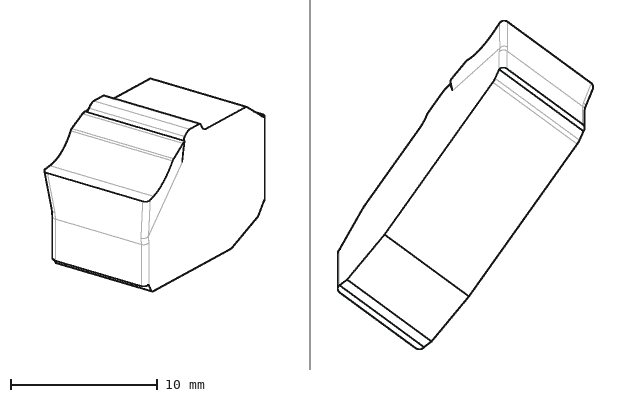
import cadquery as cq
import math

length = 19.01
height = 14.43
body_width = 7.3
body_half = body_width / 2
flared_width = 8.02
slope = math.tan(math.radians(20))

tip_z = 13.06
front_y = 0.51
front_top_z = 8.95
front_bottom_z = 5.4
front_step_y = 0.87
nose_y = 1.4
corner_radius = 0.38

bottom_front_y = 13.57
bottom_back_y = 17.72
nose_z = (bottom_front_y - nose_y) * slope
lip_y = 18.55
back_bottom_z = 0.82
lip_bottom_z = 0.68
back_top_z = 7.7
lip_top_z = back_top_z + (length - lip_y) * slope

shoulder_y = 15.91
shoulder_z = lip_top_z + lip_y - shoulder_y
ridge_foot_y = 9.56
ridge_foot_z = shoulder_z + (shoulder_y - ridge_foot_y) * slope
ridge_rear_y = 8.9
ridge_rear_z = 13.67
ridge_mid_y = 9.16
ridge_mid_z = 13.2
ridge_top_y = 8.63
ridge_top_z = 13.88
ridge_round_y = 8.78
ridge_round_z = 13.8
crest_rear_y = 7.2
crest_rear_z = ridge_top_z + (ridge_top_y - crest_rear_y) * slope
crest_y = 6.9
crest_front_y = 6.46
crest_front_z = 14.28
land_z = 14.16
land_rear_y = 6.12
land_front_y = 5.84

groove_radius = 3.42
groove_y = 1.7
groove_bottom_z = 12.83
groove_rear_y = 4.18
groove_front_y = 1.06

edge_round = 0.29
nose_round = 0.48

flare_rear_y = 6.05
flare_rear_z = 12.41
flare_wall_top_y = 6.31
flare_front_y = 0.87
flare_front_z = 9.6
flare_wall_offset = 0.23


def groove_z(y):
    """Height of the groove surface at y."""
    drop = math.sqrt(groove_radius**2 - (y - groove_y) ** 2)
    return groove_bottom_z + groove_radius - drop


def round_cross_edge(solid, y, z, radius):
    """Round the edge running along X through (y, z)."""
    return solid.edges("|X").edges(cq.selectors.NearestToPointSelector((0, y, z))).fillet(radius)


def extruded_profile(width):
    """Side profile in the YZ plane, centred on X = 0."""
    profile = (
        cq.Workplane("YZ")
        .moveTo(0, tip_z)
        .lineTo(front_y, front_top_z)
        .lineTo(front_y, front_bottom_z)
        .lineTo(front_step_y, front_bottom_z)
        .lineTo(nose_y, nose_z)
        .lineTo(bottom_front_y, 0)
        .lineTo(bottom_back_y, 0)
        .lineTo(lip_y, lip_bottom_z)
        .lineTo(length, back_bottom_z)
        .lineTo(length, back_top_z)
        .lineTo(lip_y, lip_top_z)
        .lineTo(shoulder_y, shoulder_z)
        .lineTo(ridge_foot_y, ridge_foot_z)
        .threePointArc((ridge_mid_y, ridge_mid_z), (ridge_rear_y, ridge_rear_z))
        .threePointArc((ridge_round_y, ridge_round_z), (ridge_top_y, ridge_top_z))
        .lineTo(crest_rear_y, crest_rear_z)
        .threePointArc((crest_y, height), (crest_front_y, crest_front_z))
        .lineTo(land_rear_y, land_z)
        .lineTo(land_front_y, land_z)
        .lineTo(groove_rear_y, groove_z(groove_rear_y))
        .threePointArc((groove_y, groove_bottom_z), (groove_front_y, groove_z(groove_front_y)))
        .close()
        .extrude(width / 2, both=True)
    )
    profile = round_cross_edge(profile, groove_rear_y, groove_z(groove_rear_y), edge_round)
    profile = round_cross_edge(profile, nose_y, nose_z, nose_round)
    return round_cross_edge(profile, shoulder_y, shoulder_z, edge_round)


def flare_envelope():
    """Tetrahedron on the +X side bounded by the flare face, rear wall and body side."""
    base_slope = (flare_rear_z - flare_front_z) / (flare_rear_y - flare_front_y)
    base_z_at_tip = flare_rear_z - flare_rear_y * base_slope
    spread = (flared_width - body_width) / 2 / (tip_z - base_z_at_tip)

    wall_rise = land_z - flare_rear_z
    wall_inner = cq.Vector(0, flare_wall_top_y - flare_rear_y, wall_rise)
    wall_outer_y = flare_wall_top_y - flare_wall_offset
    wall_outer_rise = wall_rise + (wall_outer_y - flare_rear_y) * base_slope
    wall_outer = cq.Vector(spread * wall_outer_rise, wall_outer_y - flare_rear_y, wall_rise)
    base_line = cq.Vector(0, flare_front_y - flare_rear_y, flare_front_z - flare_rear_z)

    reach = 8
    apex = cq.Vector(body_half, flare_rear_y, flare_rear_z)
    ends = [apex + edge * reach for edge in (base_line, wall_inner, wall_outer)]
    corners = [apex] + ends
    faces = []
    for skipped in range(len(corners)):
        triangle = corners[:skipped] + corners[skipped + 1:]
        faces.append(cq.Face.makeFromWires(cq.Wire.makePolygon(triangle, close=True)))
    return cq.Workplane(cq.Solid.makeSolid(cq.Shell.makeShell(faces)))


body = extruded_profile(body_width)
flare = extruded_profile(2 * flared_width).intersect(flare_envelope())
body = body.union(flare).union(flare.mirror("YZ"))

body = body.faces(">Y").edges("|Z").fillet(corner_radius)


def front_corner_edges(solid):
    """Side edges of the front face, from the cutting tip to the lower step."""
    margin = 0.02
    zone = cq.selectors.BoxSelector(
        (-flared_width, -margin, front_bottom_z - margin),
        (flared_width, front_y + margin, height),
        boundingbox=True,
    )
    return solid.edges(zone - cq.selectors.ParallelDirSelector(cq.Vector(1, 0, 0)))


result = front_corner_edges(body).fillet(corner_radius)